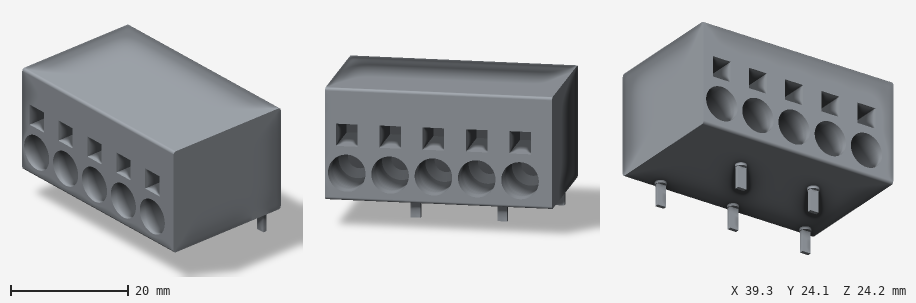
import cadquery as cq

pole_count = 5
pole_pitch = 7.5
housing_width = 39.3
housing_depth = 24.15
housing_height = 19.6
long_edge_radius = 0.5
front_y = -housing_depth / 2
left_x = -housing_width / 2

first_pole_x = left_x + pole_pitch / 2
entry_z = 4.8
entry_diameter = 6.5
entry_floor_diameter = 4.0
entry_bore_depth = 10.0
entry_taper_depth = 2.0

release_width = 3.7
release_height = 3.9
release_depth = 10.0
release_z = 11.45

overall_height = 24.2
pin_width = 1.7
pin_thickness = 0.75
pin_drop = overall_height - housing_height
collar_diameter = 2.1
collar_height = 0.5
first_pin_x = left_x + 6.55
rear_pin_y = housing_depth / 2 - 1.9
pin_row_spacing = 13.15
front_pin_y = rear_pin_y - pin_row_spacing


def wire_entry(x):
    """Round hole from the front face whose end tapers to a smaller flat floor."""
    bore_radius = entry_diameter / 2
    floor_radius = entry_floor_diameter / 2
    half_profile = (
        cq.Workplane()
        .moveTo(0, 0)
        .lineTo(bore_radius, 0)
        .lineTo(bore_radius, entry_bore_depth)
        .lineTo(floor_radius, entry_bore_depth + entry_taper_depth)
        .lineTo(0, entry_bore_depth + entry_taper_depth)
        .close()
    )
    return half_profile.revolve(360, (0, 0, 0), (0, 1, 0)).translate((x, front_y, entry_z))


def release_opening(x):
    """Blind rectangular opening running back from the front face."""
    return (
        cq.Workplane()
        .box(release_width, release_depth, release_height, centered=(True, False, True))
        .translate((x, front_y, release_z))
    )


def make_housing():
    """Block with rounded long edges and one pair of openings per pole."""
    body = (
        cq.Workplane()
        .box(housing_width, housing_depth, housing_height, centered=(True, True, False))
        .edges("|X")
        .fillet(long_edge_radius)
    )
    for pole in range(pole_count):
        x = first_pole_x + pole * pole_pitch
        body = body.cut(wire_entry(x)).cut(release_opening(x))
    return body


def make_pin(x, y):
    """Flat solder pin hanging from its round collar."""
    collar = cq.Workplane().circle(collar_diameter / 2).extrude(-collar_height)
    blade = cq.Workplane().rect(pin_width, pin_thickness).extrude(-pin_drop)
    return collar.union(blade).translate((x, y, 0))


housing = make_housing()

pins = []
for pole in range(pole_count):
    pin_y = rear_pin_y if pole % 2 == 0 else front_pin_y
    pins.append(make_pin(first_pin_x + pole * pole_pitch, pin_y))

result = cq.Compound.makeCompound([housing.val(), *[pin.val() for pin in pins]])